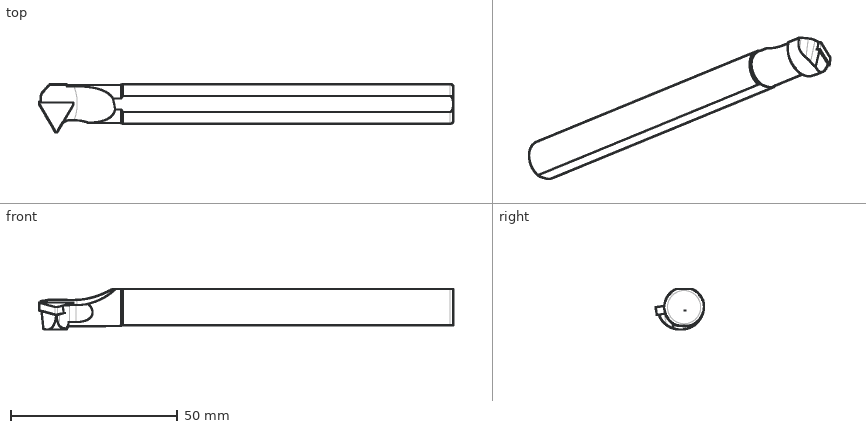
import cadquery as cq
import math

BAR_LENGTH = 124.71
SHANK_RADIUS = 6.0
FLAT_HEIGHT = 5.5
SHANK_END_RADIUS = 1.0
NECK_RADIUS = 5.75
NECK_END_X = 24.6
NECK_CONE_LENGTH = 0.65

HEAD_RADIUS = 7.05
HEAD_BOTTOM_Z = -6.78
HEAD_END_X = 8.9
HEAD_BEVEL_LENGTH = 0.7
HEAD_BEVEL_DEPTH = 1.1
HEAD_CENTRE_Y = SHANK_RADIUS - HEAD_RADIUS
HEAD_CENTRE_Z = HEAD_BOTTOM_Z + HEAD_RADIUS

RAKE_ANGLE = 9.0
TIP_Y = -8.61

INSERT_SIDE = 11.0
INSERT_THICKNESS = 2.38
NOSE_RADIUS = 0.4
HALF_CORNER_ANGLE = 30.0
CORNER_TAN = math.tan(math.radians(HALF_CORNER_ANGLE))
CORNER_COS = math.cos(math.radians(HALF_CORNER_ANGLE))
INSERT_HEIGHT = INSERT_SIDE * CORNER_COS
TIP_X = INSERT_SIDE / 2 - NOSE_RADIUS * (2 * CORNER_COS - 1)

FLANK_SETBACK = 0.15
DRAFT_ANGLE = 6.0
FRONT_X = 0.45
FRONT_TOP_Y = 10.6
CORNER_END_Y = 12.6
CORNER_BULGE_X = 0.65
CORNER_END_X = 1.3
BEVEL_END_X = 2.8
SIDE_Y = 14.2

CLEARANCE_FLOOR_DEPTH = 3.7
CLEARANCE_BLEND_RADIUS = 3.1
CLEARANCE_RISE = 3.0
CLEARANCE_FLOOR_END_X = 11.1
CLEARANCE_RUNOUT_RADIUS = 11.5
CLEARANCE_OVERSHOOT = 1.0

GULLET_FLAT_RADIUS = 14.6
GULLET_FLAT_END_X = 11.5
GULLET_CENTRE_Y = 0.2
GULLET_RIM_RADIUS = 17.2
GULLET_RIM_ANGLE = 60.0

CUT_DEPTH = 20.0
FAR = 40.0
REAR = 4 * FAR

tilt = math.radians(RAKE_ANGLE)
rake_plane = cq.Plane(
    origin=(TIP_X, TIP_Y, 0),
    xDir=(1, 0, 0),
    normal=(0, -math.sin(tilt), math.cos(tilt)),
)


def make_insert():
    """Triangular prism lying flush with the rake face."""
    half = INSERT_SIDE / 2
    apex_y = -NOSE_RADIUS
    back_y = apex_y + INSERT_HEIGHT
    return (
        cq.Workplane(rake_plane)
        .polyline([(0, apex_y), (half, back_y), (-half, back_y)])
        .close()
        .extrude(-INSERT_THICKNESS)
        .edges(cq.selectors.ParallelDirSelector(rake_plane.zDir))
        .fillet(NOSE_RADIUS)
    )


def make_shank():
    """Turned shank with a flat on its top and bottom."""
    length = BAR_LENGTH - NECK_END_X
    cone_end = NECK_END_X + NECK_CONE_LENGTH
    turned = (
        cq.Workplane("XY")
        .moveTo(NECK_END_X, 0)
        .lineTo(NECK_END_X, NECK_RADIUS)
        .lineTo(cone_end, SHANK_RADIUS)
        .lineTo(BAR_LENGTH - SHANK_END_RADIUS, SHANK_RADIUS)
        .radiusArc((BAR_LENGTH, SHANK_RADIUS - SHANK_END_RADIUS), SHANK_END_RADIUS)
        .lineTo(BAR_LENGTH, 0)
        .close()
        .revolve(360, (0, 0, 0), (1, 0, 0))
    )
    middle_x = NECK_END_X + length / 2
    flats = cq.Workplane("XY").box(length, FAR, 2 * FLAT_HEIGHT).translate((middle_x, 0, 0))
    return turned.intersect(flats)


def make_neck():
    """Neck whose only flat is on top, in line with the shank flat."""
    start_x = HEAD_END_X - HEAD_BEVEL_LENGTH
    neck = cq.Workplane("YZ", origin=(start_x, 0, 0)).circle(NECK_RADIUS).extrude(NECK_END_X - start_x)
    above_flat = cq.Workplane("XY", origin=(0, 0, FLAT_HEIGHT)).rect(2 * FAR, FAR).extrude(CUT_DEPTH)
    return neck.cut(above_flat)


def make_head():
    """Eccentric cylinder, bevelled back towards the neck."""
    return (
        cq.Workplane("YZ")
        .center(HEAD_CENTRE_Y, HEAD_CENTRE_Z)
        .circle(HEAD_RADIUS)
        .extrude(HEAD_END_X)
        .faces(">X")
        .chamfer(HEAD_BEVEL_LENGTH, HEAD_BEVEL_DEPTH)
    )


def make_front_envelope():
    """Drafted block bounding the front flank and the rounded front corner of the head."""
    front_x = FRONT_X - TIP_X
    corner_middle_y = (FRONT_TOP_Y + CORNER_END_Y) / 2
    flank_shift = FLANK_SETBACK / CORNER_COS - NOSE_RADIUS * CORNER_TAN
    flank_top_y = (flank_shift - front_x) / CORNER_TAN
    return (
        cq.Workplane(rake_plane)
        .moveTo(flank_shift + FAR * CORNER_TAN, -FAR)
        .lineTo(front_x, flank_top_y)
        .lineTo(front_x, FRONT_TOP_Y)
        .threePointArc((CORNER_BULGE_X - TIP_X, corner_middle_y), (CORNER_END_X - TIP_X, CORNER_END_Y))
        .lineTo(BEVEL_END_X - TIP_X, SIDE_Y)
        .lineTo(FAR, FAR + SIDE_Y)
        .lineTo(REAR, FAR + SIDE_Y)
        .lineTo(REAR, -FAR)
        .close()
        .extrude(-CUT_DEPTH, taper=DRAFT_ANGLE)
    )


def make_gullet():
    """Tool swept about an axis square to the rake face."""
    rim = math.radians(GULLET_RIM_ANGLE)
    rim_x = GULLET_FLAT_RADIUS + GULLET_RIM_RADIUS * math.sin(rim)
    rim_z = GULLET_RIM_RADIUS * (1 - math.cos(rim))
    centre_x = GULLET_FLAT_END_X - GULLET_FLAT_RADIUS - TIP_X
    profile_plane = cq.Plane(
        origin=rake_plane.toWorldCoords((centre_x, (GULLET_CENTRE_Y - TIP_Y) / math.cos(tilt), 0)),
        xDir=(1, 0, 0),
        normal=-rake_plane.yDir,
    )
    return (
        cq.Workplane(profile_plane)
        .lineTo(GULLET_FLAT_RADIUS, 0)
        .radiusArc((rim_x, rim_z), -GULLET_RIM_RADIUS)
        .lineTo(0, rim_z)
        .close()
        .revolve(360, (0, 0, 0), (0, 1, 0))
    )


def make_clearance():
    """Drafted cut: a flank along the insert, a rounded corner, a flat floor and a curved run-out."""
    flank_x = NOSE_RADIUS * CORNER_TAN - FLANK_SETBACK / CORNER_COS
    floor_y = CLEARANCE_FLOOR_DEPTH
    corner_x = flank_x + floor_y * CORNER_TAN
    blend_run = CLEARANCE_BLEND_RADIUS * CORNER_TAN
    flank_end = (
        corner_x - blend_run * CORNER_TAN * CORNER_COS,
        floor_y - blend_run * CORNER_COS,
    )
    floor_end_x = CLEARANCE_FLOOR_END_X - TIP_X
    outer_y = -CLEARANCE_OVERSHOOT
    drop = floor_y - outer_y
    run = math.sqrt(CLEARANCE_RUNOUT_RADIUS**2 - (CLEARANCE_RUNOUT_RADIUS - drop) ** 2)
    outline = (
        cq.Workplane(rake_plane)
        .moveTo(flank_x + outer_y * CORNER_TAN, outer_y)
        .lineTo(*flank_end)
        .radiusArc((corner_x + blend_run, floor_y), CLEARANCE_BLEND_RADIUS)
        .lineTo(floor_end_x, floor_y)
        .radiusArc((floor_end_x + run, outer_y), CLEARANCE_RUNOUT_RADIUS)
        .close()
    )
    below = outline.extrude(-CUT_DEPTH, taper=-DRAFT_ANGLE)
    above = outline.toPending().extrude(CLEARANCE_RISE, taper=DRAFT_ANGLE)
    return below.union(above)


insert = make_insert()
front = make_head().intersect(make_front_envelope())
blank = front.union(make_neck()).union(make_shank())
bar = blank.cut(make_gullet()).cut(make_clearance()).cut(insert)

result = cq.Compound.makeCompound([bar.val(), insert.val()])